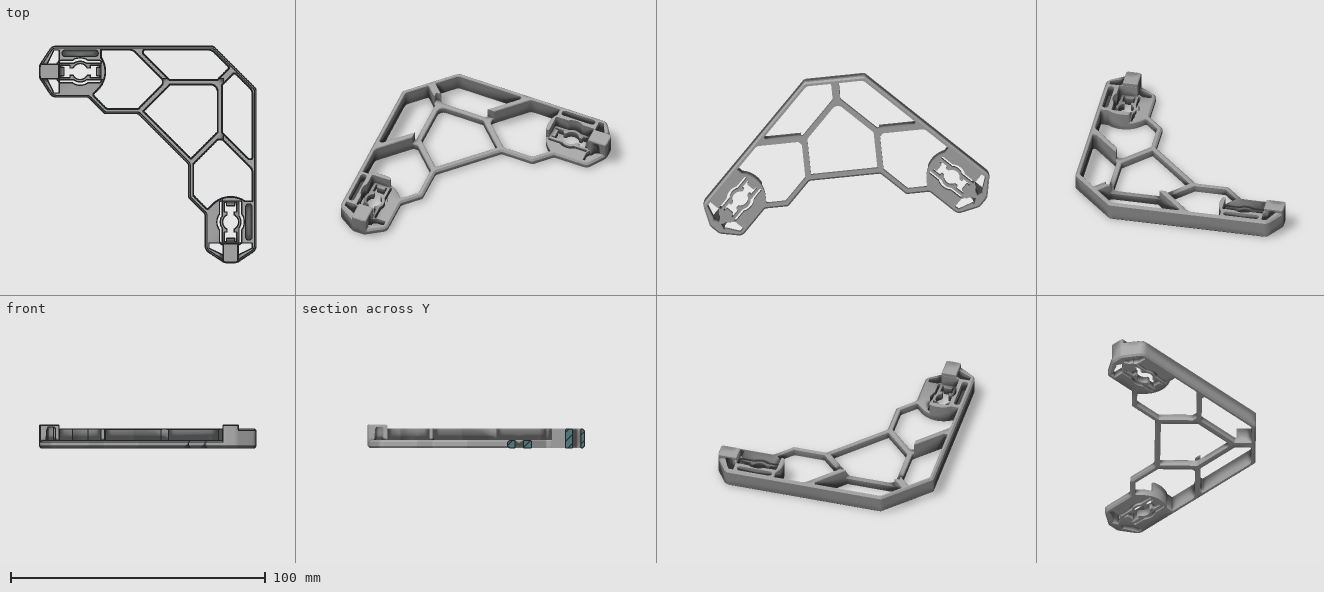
import cadquery as cq
import math


LEG = 85.0
PLATE_HEIGHT = 3.0
RIM_HEIGHT = 7.5
BLOCK_HEIGHT = 9.1
CORNER_CUT = 16.8
OUTER_CHAMFER = 0.7
CELL_CHAMFER = 0.3
WALL = 1.6
RIB = 2.0

PAD_REACH = 16.0
PAD_RADIUS = 10.0
PAD_X = -LEG + PAD_REACH
PAD_Y = -PAD_RADIUS
NOSE_HALF_WIDTH = 2.4
SHOULDER_X = -11.0
SHOULDER_FILLET = 3.0
NOSE_FILLET = 2.8
PAD_SIDE_X = 8.3

CHANNEL_LENGTH = 16.4
CHANNEL_WIDTH = 8.7
CHANNEL_RADIUS = 5.35
CHANNEL_FILLET = 0.6
CLIP_WIDTH = 6.6
CLIP_RADIUS = 4.1
CLIP_OPENING_LENGTH = 15.2
CLIP_OPENING_WIDTH = 4.8
CLIP_NECK_LENGTH = 8.0
CLIP_NECK_WIDTH = 2.7
CLIP_BORE_RADIUS = 3.1
TAB_LENGTH = 1.9
TAB_WIDTH = 3.4
TAB_FILLET = 0.5
END_WALL_Y = -3.2

BLOCK_WIDTH = 6.0
BLOCK_CHAMFER = 0.3
POCKET_DEPTH = 2.5
POCKET_SHALLOW_DEPTH = 1.4
POCKET_DEEP_X = -12.6
POCKET_SHALLOW_X = -10.5
POCKET_TOP = 8.15
POCKET_OUTER_X = -13.7
POCKET_INNER_X = -9.75
POCKET_TOP_INSET = 1.1
POCKET_CORNER = 0.5
WINDOW_OUTER_X = -12.9
WINDOW_TIP_X = -10.3
WINDOW_INNER_X = -8.3
WINDOW_NOTCH_X = -9.2
WINDOW_HALF_WIDTH = 8.4

SLOT_LENGTH = 14.2
SLOT_WIDTH = 2.5
SLOT_Y = 7.15

STEP_DEPTH = 26.5
DIAGONAL_SUM = 72.8
DIAGONAL_RIB = 2.25
PAD_DIAGONAL_SUM = 85.9
CENTRE_OUTER = 13.2
CENTRE_INNER = CENTRE_OUTER + RIB
CENTRE_FILLET = 2.7
SPOKE_INNER = 18.5
SPOKE_OUTER = 21.8
BRACE_OUTER_SUM = 50.0
BRACE_INNER_SUM = 47.1
CORNER_CELL_SIDE = 44.2
CORNER_RIB_OFFSET = 2.1
RAISED_LIMIT = 12.7
OUTLINE_FILLET = 1.5
CELL_FILLET = 0.5
RIM_FILLET = 2.7


def inward(points):
    """Turn distances inward from the two outer sides into X, Y points."""
    return [(-a, -b) for a, b in points]


def mirrored(shape):
    """The same shape on the other leg."""
    return shape.mirror(cq.Vector(1, -1, 0), (0, 0, 0))


def both(shape):
    return shape.union(mirrored(shape))


def at_pad(shape):
    """Move a shape drawn about the pad centre to its place on the leg."""
    return shape.translate((PAD_X, PAD_Y, 0))


def box(x0, x1, y0, y1, z0, z1):
    return cq.Workplane("XY").box(x1 - x0, y1 - y0, z1 - z0, centered=False).translate((x0, y0, z0))


def round_corners(prism, corners, radius):
    """Fillet the upright edges at the given inward distances."""
    middle = prism.val().Center().z
    for point in inward(corners):
        nearest = cq.selectors.NearestToPointSelector((*point, middle))
        prism = prism.edges("|Z").edges(nearest).fillet(radius)
    return prism


def slab(height):
    """Solid outline of the bracket with its outer edges chamfered."""
    shoulder = -PAD_X - SHOULDER_X
    pad_width = 2 * PAD_RADIUS
    leg = [
        (CORNER_CUT, 0),
        (shoulder, 0),
        (LEG, PAD_RADIUS - NOSE_HALF_WIDTH),
        (LEG, PAD_RADIUS + NOSE_HALF_WIDTH),
        (shoulder, pad_width),
        (PAD_DIAGONAL_SUM - pad_width, pad_width),
        (PAD_DIAGONAL_SUM - STEP_DEPTH, STEP_DEPTH),
        (DIAGONAL_SUM - STEP_DEPTH, STEP_DEPTH),
    ]
    other_leg = [(b, a) for a, b in reversed(leg)]
    body = cq.Workplane("XY").polyline(inward(leg + other_leg)).close().extrude(height)

    rounding = [
        (leg[2:4], NOSE_FILLET),
        ([leg[1], leg[4]], SHOULDER_FILLET),
        ([leg[0]] + leg[5:], OUTLINE_FILLET),
    ]
    for corners, radius in rounding:
        other_corners = [(b, a) for a, b in corners]
        body = round_corners(body, corners + other_corners, radius)
    return body.faces("<Z or >Z").edges().chamfer(OUTER_CHAMFER)


def flared_cutter(prism, height):
    """Extend an opening's prism with a lid that chamfers its top edge."""
    top = prism.faces(">Z").wires().val().translate(cq.Vector(0, 0, -CELL_CHAMFER))
    lid = cq.Workplane(top).toPending().extrude(CELL_CHAMFER, taper=-45)
    return prism.union(lid)


def centre_cell(height):
    """Five-sided opening on the symmetry line."""
    inner_sum = DIAGONAL_SUM - DIAGONAL_RIB * math.sqrt(2)
    side = [
        (CENTRE_INNER + SPOKE_INNER, CENTRE_INNER),
        ((inner_sum + SPOKE_INNER) / 2, (inner_sum - SPOKE_INNER) / 2),
    ]
    other_side = [(b, a) for a, b in reversed(side)]
    corner = (CENTRE_INNER, CENTRE_INNER)
    prism = cq.Workplane("XY").polyline(inward([corner] + side + other_side)).close().extrude(height)
    prism = prism.edges("|Z and >(1, 1, 0)").fillet(CENTRE_FILLET)
    return flared_cutter(prism, height)


def pad_cell(height):
    """Opening between the pad, the raised brace and the spoke."""
    step_inner = STEP_DEPTH - RIB
    pad_wall_sum = PAD_DIAGONAL_SUM - RIB * math.sqrt(2)
    brace_end = BRACE_OUTER_SUM - CENTRE_OUTER
    tangent = PAD_RADIUS / math.sqrt(2)
    arc_start_y = math.sqrt(PAD_RADIUS**2 - PAD_SIDE_X**2)
    flank_difference = -PAD_X + PAD_Y - PAD_RADIUS * math.sqrt(2)
    rim_turn = (BRACE_OUTER_SUM - WALL, WALL)
    corners = [
        (brace_end, CENTRE_OUTER),
        (brace_end, brace_end - SPOKE_OUTER),
        (step_inner + SPOKE_OUTER, step_inner),
        (pad_wall_sum - step_inner, step_inner),
        ((pad_wall_sum + flank_difference) / 2, (pad_wall_sum - flank_difference) / 2),
    ]
    pad_tangent = (-PAD_X - tangent, -PAD_Y + tangent)
    prism = (
        cq.Workplane("XY")
        .moveTo(PAD_X + PAD_SIDE_X, PAD_Y + arc_start_y)
        .lineTo(PAD_X + PAD_SIDE_X, -WALL)
        .polyline(inward([rim_turn] + corners + [pad_tangent]), includeCurrent=True)
        .threePointArc((PAD_X + PAD_RADIUS, PAD_Y), (PAD_X + PAD_SIDE_X, PAD_Y + arc_start_y))
        .close()
        .extrude(height)
    )
    prism = round_corners(prism, [rim_turn], RIM_FILLET)
    prism = round_corners(prism, corners, CELL_FILLET)
    return flared_cutter(prism, height)


def corner_cell(height):
    """Opening between the raised brace, the rim and the outer corner rib."""
    rim_sum = CORNER_CUT + WALL * math.sqrt(2)
    points = [
        (CORNER_CELL_SIDE, WALL),
        (CORNER_CELL_SIDE, BRACE_INNER_SUM - CORNER_CELL_SIDE),
        (BRACE_INNER_SUM - CENTRE_OUTER, CENTRE_OUTER),
        (CENTRE_OUTER + CORNER_RIB_OFFSET, CENTRE_OUTER),
        ((rim_sum + CORNER_RIB_OFFSET) / 2, (rim_sum - CORNER_RIB_OFFSET) / 2),
        (rim_sum - WALL, WALL),
    ]
    prism = cq.Workplane("XY").polyline(inward(points)).close().extrude(height)
    prism = round_corners(prism, points[-1:], RIM_FILLET)
    prism = round_corners(prism, points[:-1], CELL_FILLET)
    return flared_cutter(prism, height)


def open_cells(body, height):
    """Cut every opening of the web."""
    body = body.cut(centre_cell(height))
    for cell in (pad_cell(height), corner_cell(height)):
        body = body.cut(both(cell))
    return body


def channel(height):
    """Space round the clip: a straight channel with a round middle."""
    straight = cq.Workplane("XY").rect(CHANNEL_LENGTH, CHANNEL_WIDTH).extrude(height)
    straight = straight.edges("|Z").fillet(CHANNEL_FILLET)
    return straight.union(cq.Workplane("XY").circle(CHANNEL_RADIUS).extrude(height))


def raised_part():
    """Tall rim, braces and pad wall; everything else stays at plate height."""
    body = slab(RIM_HEIGHT)
    zone = both(box(-LEG, 0, -RAISED_LIMIT, 0, 0, RIM_HEIGHT))
    wall_end = box(PAD_X, PAD_X + PAD_RADIUS, PAD_Y + END_WALL_Y, PAD_Y, 0, RIM_HEIGHT)
    body = body.intersect(zone.union(both(wall_end)))
    body = open_cells(body, RIM_HEIGHT)
    inner_half = box(-CHANNEL_LENGTH / 2, CHANNEL_LENGTH / 2, -PAD_RADIUS, 0, 0, RIM_HEIGHT)
    clearance = at_pad(channel(RIM_HEIGHT).union(inner_half))
    return body.cut(both(clearance))


def clip_openings():
    """Through slots that free the clip from the pad, and the opening inside it."""
    strip = cq.Workplane("XY").rect(CHANNEL_LENGTH, CLIP_WIDTH).extrude(PLATE_HEIGHT)
    clip = strip.union(cq.Workplane("XY").circle(CLIP_RADIUS).extrude(PLATE_HEIGHT))
    slits = channel(PLATE_HEIGHT).cut(clip)

    opening = cq.Workplane("XY").rect(CLIP_OPENING_LENGTH, CLIP_OPENING_WIDTH).extrude(PLATE_HEIGHT)
    neck_block = cq.Workplane("XY").rect(CLIP_NECK_LENGTH, CLIP_OPENING_WIDTH).extrude(PLATE_HEIGHT)
    neck = cq.Workplane("XY").rect(CLIP_NECK_LENGTH, CLIP_NECK_WIDTH).extrude(PLATE_HEIGHT)
    bore = cq.Workplane("XY").circle(CLIP_BORE_RADIUS).extrude(PLATE_HEIGHT)
    opening = opening.cut(neck_block).union(neck).union(bore)
    for side in (-1, 1):
        tab = cq.Workplane("XY").rect(2 * TAB_LENGTH, TAB_WIDTH).extrude(PLATE_HEIGHT)
        tab = tab.edges("|Z").fillet(TAB_FILLET).translate((side * CHANNEL_LENGTH / 2, 0, 0))
        opening = opening.cut(tab)
    return at_pad(slits.union(opening))


def end_windows():
    """Through windows on both sides of the end block."""
    window = (
        cq.Workplane("XY")
        .polyline(
            [
                (WINDOW_OUTER_X, BLOCK_WIDTH / 2),
                (WINDOW_TIP_X, WINDOW_HALF_WIDTH),
                (WINDOW_INNER_X, WINDOW_HALF_WIDTH),
                (WINDOW_INNER_X, CHANNEL_WIDTH / 2),
                (WINDOW_NOTCH_X, BLOCK_WIDTH / 2),
            ]
        )
        .close()
        .extrude(RIM_HEIGHT)
    )
    return at_pad(window.union(window.mirror("XZ")))


def end_block():
    """Tall block at the end of the leg, rounded like the outline."""
    block = slab(BLOCK_HEIGHT + OUTER_CHAMFER)
    keep = box(-PAD_REACH, WINDOW_INNER_X, -BLOCK_WIDTH / 2, BLOCK_WIDTH / 2, 0, BLOCK_HEIGHT)
    return block.intersect(at_pad(keep)).faces(">Z").edges().chamfer(BLOCK_CHAMFER)


def block_pockets():
    """Pockets with slanted floors running into both sides of the block from below."""
    side = -BLOCK_WIDTH / 2
    plan = (
        cq.Workplane("XY")
        .polyline(
            [
                (POCKET_OUTER_X, side),
                (POCKET_DEEP_X, side + POCKET_DEPTH),
                (POCKET_SHALLOW_X, side + POCKET_SHALLOW_DEPTH),
                (POCKET_INNER_X, side),
            ]
        )
        .close()
        .extrude(POCKET_TOP)
    )
    top_outer_x = POCKET_OUTER_X + POCKET_TOP_INSET
    elevation = (
        cq.Workplane("XZ")
        .polyline(
            [
                (POCKET_OUTER_X, 0),
                (top_outer_x - POCKET_CORNER, POCKET_TOP - 2 * POCKET_CORNER),
                (top_outer_x, POCKET_TOP),
                (POCKET_INNER_X - POCKET_CORNER, POCKET_TOP),
                (POCKET_INNER_X, POCKET_TOP - POCKET_CORNER),
                (POCKET_INNER_X, 0),
            ]
        )
        .close()
        .extrude(-side)
    )
    pocket = plan.intersect(elevation)
    return at_pad(pocket.union(pocket.mirror("XZ")))


def rim_slot():
    """Blind slot with round ends, down to plate height."""
    slot = cq.Workplane("XY", origin=(0, SLOT_Y, PLATE_HEIGHT)).slot2D(SLOT_LENGTH, SLOT_WIDTH)
    return at_pad(slot.extrude(RIM_HEIGHT - PLATE_HEIGHT))


result = open_cells(slab(PLATE_HEIGHT), PLATE_HEIGHT).union(raised_part())
for cut in (clip_openings(), end_windows(), rim_slot()):
    result = result.cut(both(cut))
result = result.union(both(end_block())).cut(both(block_pockets()))